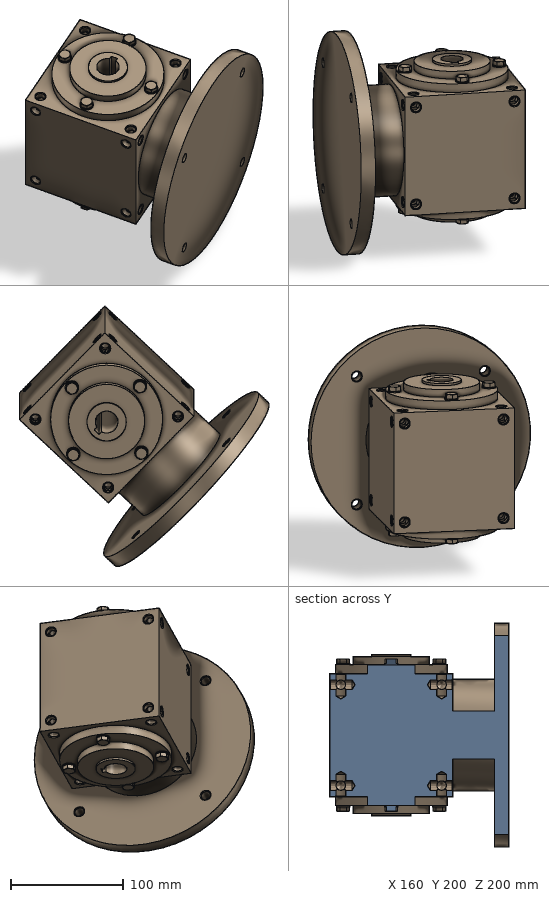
import cadquery as cq
import math

CUBE = 110.0
COVER_DIAMETER = 100.0
COVER_HEIGHT = 8.0
HUB_DIAMETER = 68.0
HUB_HEIGHT = 7.0
COVER_TOP = CUBE / 2 + COVER_HEIGHT
HUB_TOP = COVER_TOP + HUB_HEIGHT

NECK_DIAMETER = 100.0
FLANGE_DIAMETER = 200.0
FLANGE_THICKNESS = 13.0
FLANGE_END = 105.0
FLANGE_FACE = FLANGE_END - FLANGE_THICKNESS
FLANGE_BOLT_CIRCLE = 165.0
FLANGE_HOLE_OFFSET = FLANGE_BOLT_CIRCLE / 2 * math.cos(math.radians(45))

HOLE_DIAMETER = 8.5
HOLE_MOUTH_DIAMETER = 10.0
MOUTH_DEPTH = (HOLE_MOUTH_DIAMETER - HOLE_DIAMETER) / 2
HOLE_SPACING = 90.0
HOLE_DEPTH = 20.0
DRILL_POINT_ANGLE = 118.0
DRILL_POINT_DEPTH = HOLE_DIAMETER / 2 / math.tan(math.radians(DRILL_POINT_ANGLE / 2))

SHAFT_DIAMETER = 35.0
SHAFT_PROJECTION = 2.0
SHAFT_LENGTH = 2 * (HUB_TOP + SHAFT_PROJECTION)
BORE_DIAMETER = 20.0
KEYWAY_WIDTH = 6.0
KEYWAY_TOP = 12.8

BOLT_COUNT = 4
BOLT_CIRCLE_RADIUS = 43.0
WASHER_DIAMETER = 12.0
WASHER_THICKNESS = 1.0
HEX_SIDES = 6
HEX_ACROSS_FLATS = 10.0
HEX_ACROSS_CORNERS = HEX_ACROSS_FLATS / math.cos(math.pi / HEX_SIDES)
HEX_HEIGHT = 4.0
HEX_TOP_DIAMETER = HEX_ACROSS_FLATS
HEX_CHAMFER_ANGLE = 30.0
HEX_CHAMFER_HEIGHT = (HEX_ACROSS_CORNERS - HEX_TOP_DIAMETER) / 2 * math.tan(math.radians(HEX_CHAMFER_ANGLE))


def centred_cylinder(diameter, length):
    """Cylinder along Z, centred on the origin."""
    return cq.Workplane("XY").circle(diameter / 2).extrude(length).translate((0, 0, -length / 2))


def cylinder_along_x(diameter, start, end):
    return cq.Workplane("YZ").workplane(offset=start).circle(diameter / 2).extrude(end - start)


def make_blind_hole():
    """Cutter for one blind hole that enters the top face of the cube, on the Z axis."""
    radius = HOLE_DIAMETER / 2
    face = CUBE / 2
    return (
        cq.Workplane("XZ")
        .moveTo(0, face)
        .lineTo(HOLE_MOUTH_DIAMETER / 2, face)
        .lineTo(radius, face - MOUTH_DEPTH)
        .lineTo(radius, face - HOLE_DEPTH)
        .lineTo(0, face - HOLE_DEPTH - DRILL_POINT_DEPTH)
        .close()
        .revolve(360, (0, 0, 0), (0, 1, 0))
    )


def make_face_holes():
    """Cutters for the four corner holes of the top face of the cube."""
    hole = make_blind_hole()
    cutters = cq.Workplane("XY")
    for side_x in (-1, 1):
        for side_y in (-1, 1):
            cutters.add(hole.translate((side_x * HOLE_SPACING / 2, side_y * HOLE_SPACING / 2, 0)))
    return cutters


def cut_cube_holes(body):
    """Cut the four corner holes into each of the six cube faces."""
    face_holes = make_face_holes()
    x_axis = (1, 0, 0)
    y_axis = (0, 1, 0)
    face_turns = [(x_axis, angle) for angle in (0, 90, 180, 270)]
    face_turns += [(y_axis, angle) for angle in (90, 270)]
    for axis, angle in face_turns:
        for hole in face_holes.rotate((0, 0, 0), axis, angle).vals():
            body = body.cut(cq.Workplane(hole))
    return body


def cut_flange_holes(body):
    """Cut four through holes, countersunk on the side facing the cube."""
    radius = HOLE_DIAMETER / 2
    hole = (
        cq.Workplane("XY")
        .moveTo(FLANGE_FACE, 0)
        .lineTo(FLANGE_FACE, HOLE_MOUTH_DIAMETER / 2)
        .lineTo(FLANGE_FACE + MOUTH_DEPTH, radius)
        .lineTo(FLANGE_END, radius)
        .lineTo(FLANGE_END, 0)
        .close()
        .revolve(360, (0, 0, 0), (1, 0, 0))
    )
    for side_y in (-1, 1):
        for side_z in (-1, 1):
            body = body.cut(hole.translate((0, side_y * FLANGE_HOLE_OFFSET, side_z * FLANGE_HOLE_OFFSET)))
    return body


def make_housing():
    body = (
        cq.Workplane("XY")
        .box(CUBE, CUBE, CUBE)
        .union(centred_cylinder(COVER_DIAMETER, 2 * COVER_TOP))
        .union(centred_cylinder(HUB_DIAMETER, 2 * HUB_TOP))
        .union(cylinder_along_x(NECK_DIAMETER, 0, FLANGE_FACE))
        .union(cylinder_along_x(FLANGE_DIAMETER, FLANGE_FACE, FLANGE_END))
        .cut(centred_cylinder(SHAFT_DIAMETER, 2 * HUB_TOP))
    )
    body = cut_cube_holes(body)
    return cut_flange_holes(body)


def make_shaft():
    """Hollow shaft that fills the housing bore, with a full-length keyway."""
    keyway = cq.Workplane("XY").box(KEYWAY_WIDTH, KEYWAY_TOP, SHAFT_LENGTH).translate((0, KEYWAY_TOP / 2, 0))
    return (
        centred_cylinder(SHAFT_DIAMETER, SHAFT_LENGTH)
        .cut(centred_cylinder(BORE_DIAMETER, SHAFT_LENGTH))
        .cut(keyway)
    )


def make_bolt():
    """Upright bolt head standing on the XY plane, with two hexagon corners along X.

    A cone rounds the hexagon corners off towards a circular top face.
    """
    head_top = WASHER_THICKNESS + HEX_HEIGHT
    washer = cq.Workplane("XY").circle(WASHER_DIAMETER / 2).extrude(WASHER_THICKNESS)
    hexagon = cq.Workplane("XY").polygon(HEX_SIDES, HEX_ACROSS_CORNERS).extrude(head_top)
    rounding = (
        cq.Workplane("XZ")
        .lineTo(HEX_ACROSS_CORNERS / 2, 0)
        .lineTo(HEX_ACROSS_CORNERS / 2, head_top - HEX_CHAMFER_HEIGHT)
        .lineTo(HEX_TOP_DIAMETER / 2, head_top)
        .lineTo(0, head_top)
        .close()
        .revolve(360, (0, 0, 0), (0, 1, 0))
    )
    return hexagon.intersect(rounding).union(washer)


def make_bolts():
    """Separate bolts on the top cover and their mirror images on the bottom cover."""
    bolts = []
    for index in range(BOLT_COUNT):
        angle = math.radians(index * 360 / BOLT_COUNT)
        x = BOLT_CIRCLE_RADIUS * math.cos(angle)
        y = BOLT_CIRCLE_RADIUS * math.sin(angle)
        top_bolt = make_bolt().translate((x, y, COVER_TOP))
        bolts += [top_bolt.val(), top_bolt.mirror("XY").val()]
    return bolts


housing = make_housing()
shaft = make_shaft()
bolts = make_bolts()
result = cq.Compound.makeCompound([housing.val(), shaft.val(), *bolts])